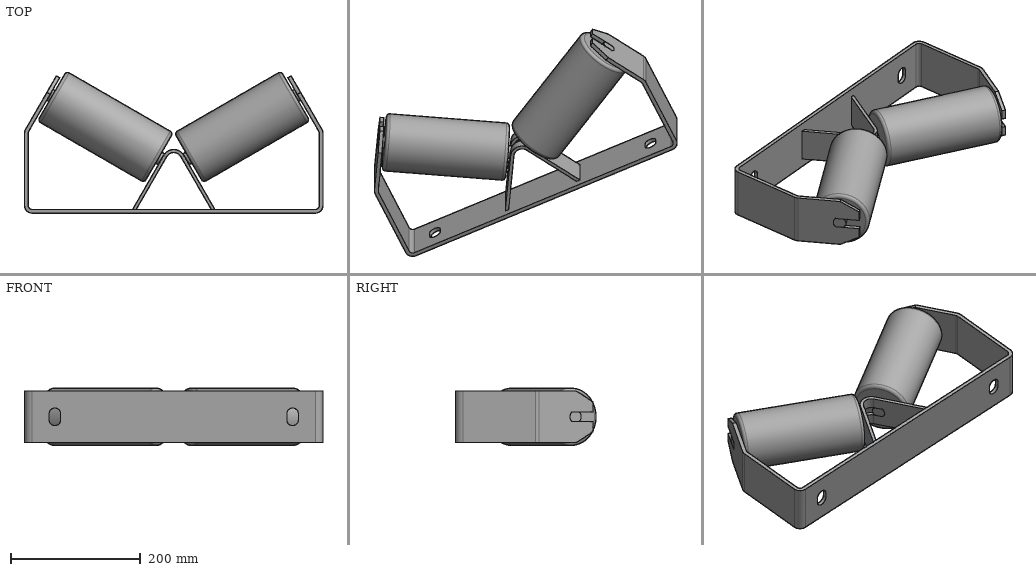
import cadquery as cq
import math

frame_width = 460.0
band_height = 79.5
band_thickness = 6.0
corner_bend_radius = 12.0
arm_bend_y = 126.5
arm_length = 98.5
tip_chamfer_along = 29.5
tip_chamfer_across = 16.5

mount_slot_x = 183.0
mount_slot_width = 18.0
mount_slot_height = 27.0

bracket_height = 51.5
bracket_thickness = 5.0
bracket_crest_y = 98.5
bracket_crest_radius = 17.5

roller_tilt = 30.0
roller_x = 105.5
roller_y = 133.0
roller_diameter = 89.0
roller_length = 190.0
roller_edge_radius = 5.0
shaft_diameter = 20.0
tang_thickness = 15.0
tang_shoulder_gap = 0.5

tilt = math.radians(roller_tilt)
half_width = frame_width / 2
inner_bend_radius = corner_bend_radius - band_thickness
slot_reach = 2 * frame_width

crest_center_y = bracket_crest_y - bracket_crest_radius
bracket_apex_y = crest_center_y + bracket_crest_radius / math.sin(tilt)

roller_axial = roller_x * math.cos(tilt) + roller_y * math.sin(tilt)
arm_face_axial = half_width * math.cos(tilt) + arm_bend_y * math.sin(tilt)
bracket_face_axial = bracket_apex_y * math.sin(tilt) - bracket_thickness
shaft_outer_end = arm_face_axial - roller_axial
shaft_inner_end = bracket_face_axial - roller_axial
outer_shoulder = shaft_outer_end - band_thickness - tang_shoulder_gap
inner_shoulder = shaft_inner_end + bracket_thickness + tang_shoulder_gap


def mirrored(points):
    """The same points on the other side of the YZ plane, in reverse order."""
    return [(-x, y) for x, y in reversed(points)]


def round_bends(body, points, radius):
    """Round the upright edges that pass through the given points."""
    for x, y in points:
        edge = cq.selectors.NearestToPointSelector((x, y, 0))
        body = body.edges("|Z").edges(edge).fillet(radius)
    return body


def on_roller_axis(body, side):
    """Move a body modelled along +X (outward) onto the roller axis of one side (+1 or -1)."""
    body = body.rotate((0, 0, 0), (0, 0, 1), roller_tilt).translate((roller_x, roller_y, 0))
    return body if side > 0 else body.mirror("YZ")


def cylinder_along_x(start, end, diameter):
    return cq.Workplane("YZ", origin=(start, 0, 0)).circle(diameter / 2).extrude(end - start)


def tang(start, end):
    """Shaft end with flats on top and bottom, from start to end along X."""
    flats = cq.Workplane("XY").box(slot_reach, shaft_diameter, tang_thickness)
    return cylinder_along_x(start, end, shaft_diameter).intersect(flats)


def shaft_slot(start, end):
    """Open slot that a tang drops into, its floor shaped like the tang."""
    entry = cq.Workplane("XY").box(
        end - start, slot_reach, tang_thickness, centered=(False, False, True)
    ).translate((start, 0, 0))
    return entry.union(tang(start, end))


def frame_strip():
    outer_bend = (half_width, arm_bend_y)
    outer_tip = (
        half_width - arm_length * math.sin(tilt),
        arm_bend_y + arm_length * math.cos(tilt),
    )
    inner_tip = (
        outer_tip[0] - band_thickness * math.cos(tilt),
        outer_tip[1] - band_thickness * math.sin(tilt),
    )
    inner_bend = (
        half_width - band_thickness,
        arm_bend_y - band_thickness * math.tan(tilt / 2),
    )
    outer_corner = (half_width, 0)
    inner_corner = (half_width - band_thickness, band_thickness)

    right_half = [outer_corner, outer_bend, outer_tip, inner_tip, inner_bend, inner_corner]
    strip = (
        cq.Workplane("XY", origin=(0, 0, -band_height / 2))
        .polyline(right_half + mirrored(right_half))
        .close()
        .extrude(band_height)
    )

    outer_bends = [outer_corner, outer_bend]
    inner_bends = [inner_corner, inner_bend]
    strip = round_bends(strip, outer_bends + mirrored(outer_bends), corner_bend_radius)
    return round_bends(strip, inner_bends + mirrored(inner_bends), inner_bend_radius)


def arm_tip_cut(side):
    """Two triangular prisms that cut the corners of an arm tip."""
    along_arm = cq.Plane(
        origin=(half_width, arm_bend_y, 0),
        xDir=(-math.sin(tilt), math.cos(tilt), 0),
        normal=(math.cos(tilt), math.sin(tilt), 0),
    )
    half_height = band_height / 2
    corner = [
        (arm_length - tip_chamfer_along, half_height),
        (arm_length, half_height),
        (arm_length, half_height - tip_chamfer_across),
    ]
    cut = cq.Workplane(along_arm).polyline(corner).close().extrude(2 * band_thickness, both=True)
    cut = cut.union(cut.mirror("XY"))
    return cut if side > 0 else cut.mirror("YZ")


def make_frame():
    frame = frame_strip()
    mount_slots = (
        cq.Workplane("XZ")
        .pushPoints([(-mount_slot_x, 0), (mount_slot_x, 0)])
        .slot2D(mount_slot_height, mount_slot_width, 90)
        .extrude(-band_thickness)
    )
    frame = frame.cut(mount_slots)
    for side in (1, -1):
        frame = frame.cut(arm_tip_cut(side))
        frame = frame.cut(on_roller_axis(shaft_slot(roller_length / 2, shaft_outer_end), side))
    return frame


def bracket_wedge(crest_radius):
    """Solid wedge with a rounded crest, standing on the back wall of the frame."""
    tangent_x = crest_radius * math.cos(tilt)
    tangent_y = crest_center_y + crest_radius * math.sin(tilt)
    foot_x = tangent_x + (tangent_y - band_thickness) * math.tan(tilt)
    return (
        cq.Workplane("XY", origin=(0, 0, -bracket_height / 2))
        .moveTo(-foot_x, band_thickness)
        .lineTo(-tangent_x, tangent_y)
        .threePointArc((0, crest_center_y + crest_radius), (tangent_x, tangent_y))
        .lineTo(foot_x, band_thickness)
        .close()
        .extrude(bracket_height)
    )


def crest_slot():
    """Opening through the crest that joins the shaft slots of the two legs."""
    across_tilt = roller_y * math.cos(tilt) - roller_x * math.sin(tilt)
    leg_axial = bracket_face_axial + bracket_thickness
    slot_x = leg_axial * math.cos(tilt) - across_tilt * math.sin(tilt)
    slot_y = leg_axial * math.sin(tilt) + across_tilt * math.cos(tilt)
    opening = cq.Workplane("XY").box(
        2 * slot_x, bracket_crest_y - slot_y, tang_thickness, centered=(True, False, True)
    )
    return opening.translate((0, slot_y, 0))


def make_bracket():
    outside = bracket_wedge(bracket_crest_radius)
    inside = bracket_wedge(bracket_crest_radius - bracket_thickness)
    bracket = outside.cut(inside).cut(crest_slot())
    for side in (1, -1):
        bracket = bracket.cut(on_roller_axis(shaft_slot(shaft_inner_end, -roller_length / 2), side))
    return bracket


def make_roller(side):
    """Roller with its shaft ends, as one solid."""
    drum = cylinder_along_x(-roller_length / 2, roller_length / 2, roller_diameter)
    drum = drum.edges().fillet(roller_edge_radius)
    shaft = cylinder_along_x(inner_shoulder, outer_shoulder, shaft_diameter)
    roller = drum.union(shaft).union(tang(shaft_inner_end, shaft_outer_end))
    return on_roller_axis(roller, side)


frame = make_frame()
bracket = make_bracket()
rollers = [make_roller(side) for side in (1, -1)]

result = cq.Compound.makeCompound(
    [frame.val(), bracket.val(), *[roller.val() for roller in rollers]]
)